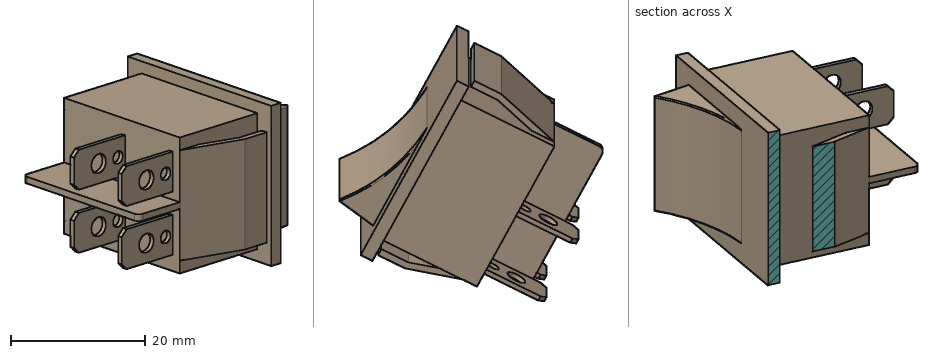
import cadquery as cq


bezel_width = 31.0
bezel_height = 25.3
bezel_thickness = 2.0

body_width = 24.95
body_height = 21.45
body_depth = 16.0

clip_height = 17.4
clip_thickness = 1.08
clip_tip_gap = 0.95
clip_knee_depth = 5.45
clip_inner_root_depth = 12.12

divider_length = 8.5
divider_thickness = 1.08
divider_corner_radius = 0.95

terminal_length = 10.52
terminal_width = 6.3
terminal_thickness = 0.75
terminal_chamfer = 1.0
terminal_columns = (0.3, 10.6)
terminal_row_offset = 4.98
small_hole_diameter = 2.0
small_hole_distance = 1.45
large_hole_diameter = 3.0
large_hole_distance = 5.45

rocker_width = 19.0
rocker_tip_x = 10.38
rocker_tip_height = 6.5
rocker_mid_x = 2.1
rocker_mid_height = 1.65
rocker_low_x = -7.9
rocker_low_sink = 0.05
rocker_root_x = 11.77
rocker_root_depth = 1.4
rocker_edge_radius = 0.2


def block(width, depth, height, y_front):
    """Box centred on X and Z that runs from y_front towards -Y."""
    return cq.Workplane("XY").box(width, depth, height).translate((0, y_front - depth / 2, 0))


def make_clip():
    """Bent strip on the +X side of the housing, joined to it at the terminal end."""
    outer_x = bezel_width / 2
    inner_x = outer_x - clip_thickness
    wall_x = body_width / 2
    return (
        cq.Workplane("XY")
        .moveTo(wall_x, -body_depth)
        .lineTo(outer_x, -clip_knee_depth)
        .lineTo(outer_x, -clip_tip_gap)
        .lineTo(inner_x, -clip_tip_gap)
        .lineTo(inner_x, -clip_knee_depth)
        .lineTo(wall_x, -clip_inner_root_depth)
        .close()
        .extrude(clip_height / 2, both=True)
    )


def make_divider():
    """Thin plate with rounded free corners."""
    divider = block(body_width, divider_length, divider_thickness, -body_depth)
    return divider.faces("<Y").edges("|Z").fillet(divider_corner_radius)


def make_terminal(x, z):
    """Flat spade with a chamfered tip, a small hole near the housing and a larger one further out."""
    blade = block(terminal_thickness, terminal_length, terminal_width, -body_depth)
    blade = blade.faces("<Y").edges("|X").chamfer(terminal_chamfer)
    for distance, diameter in (
        (small_hole_distance, small_hole_diameter),
        (large_hole_distance, large_hole_diameter),
    ):
        hole = (
            cq.Workplane("YZ")
            .center(-body_depth - distance, 0)
            .circle(diameter / 2)
            .extrude(terminal_thickness, both=True)
        )
        blade = blade.cut(hole)
    return blade.translate((x, 0, z))


def make_rocker():
    """Raised half of the rocker with a concave finger face; its root is buried in the bezel."""
    face_y = bezel_thickness
    root_y = face_y - rocker_root_depth
    rocker = (
        cq.Workplane("XY")
        .moveTo(rocker_low_x, root_y)
        .lineTo(rocker_low_x, face_y - rocker_low_sink)
        .threePointArc(
            (rocker_mid_x, face_y + rocker_mid_height),
            (rocker_tip_x, face_y + rocker_tip_height),
        )
        .lineTo(rocker_root_x, root_y)
        .close()
        .extrude(rocker_width / 2, both=True)
    )
    return rocker.edges(">Y or >Z or <Z").fillet(rocker_edge_radius)


result = block(bezel_width, bezel_thickness, bezel_height, bezel_thickness)
result = result.union(block(body_width, body_depth, body_height, 0))

clip = make_clip()
result = result.union(clip).union(clip.mirror("YZ"))

result = result.union(make_divider())
for column_x in terminal_columns:
    for row_z in (-terminal_row_offset, terminal_row_offset):
        result = result.union(make_terminal(column_x, row_z))

result = result.union(make_rocker())